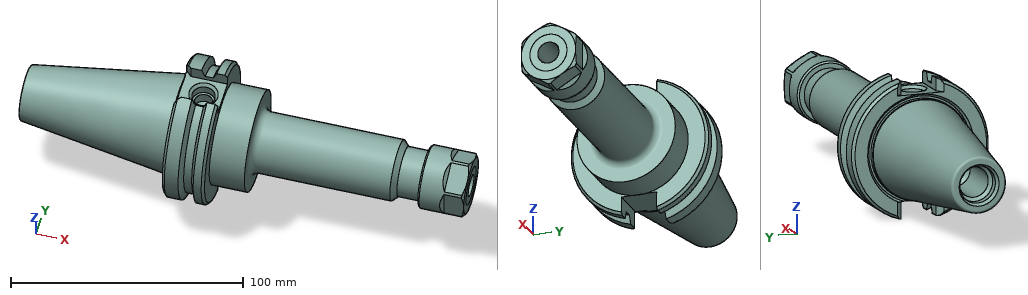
import cadquery as cq
import math


TAPER_SMALL_R = 24.8 / 2
TAPER_HALF_SLOPE = 7 / 48
TAPER_EDGE_R = 1.2
TAPER_END_X = 68.0

FLANGE_BACK_X = 68.8
FLANGE_FRONT_X = 87.7
FLANGE_R = 63.3 / 2
RIM_CHAMFER = 1.2
GROOVE_START_X = 76.2
GROOVE_END_X = 82.9
GROOVE_FLOOR_R = 28.2
GROOVE_WALL_LENGTH = 1.5
COLLAR_R = 22.6
COLLAR_END_X = 103.3

RELIEF_OUTER_R = 24.5
RELIEF_INNER_R = 23.5
RELIEF_DEPTH = 1.2

SLOT_WIDTH = 16.3
SLOT_CHAMFER = 2.5
TOP_SLOT_FLOOR = 24.8
BOTTOM_SLOT_FLOOR = 22.5

POCKET_X = 79.1
POCKET_DIAMETER = 10.1
POCKET_DEPTH = 5.2
POCKET_MOUTH_DIAMETER = 12.7
DRILL_DIAMETER = 8
DRILL_DEPTH = 10
DRILL_POINT_ANGLE = 140

NOSE_R = 27.2 / 2
NOSE_FILLET = 3.2
NOSE_END_X = 168.2
NECK_R = 11.1

BORE_MOUTH_R = 18.5 / 2
BORE_MOUTH_LENGTH = 1.8
PILOT_R = 16.5 / 2
PILOT_DEPTH = 5.0
BORE_R = 6.7
BORE_DEPTH = 27.8
THROUGH_R = 10.1 / 2

NUT_BACK_X = 178.0
NUT_FRONT_X = 198.3
NUT_R = 28.2 / 2
NUT_BACK_CHAMFER = 0.8
NUT_FRONT_CHAMFER_LENGTH = 1.0
NUT_SEAT_X = 190.4
FLAT_START_X = 189.5
FLAT_DISTANCE = 12.5
FLAT_COUNT = 6

COLLET_LARGE_R = 8.5
COLLET_SMALL_R = 12.0 / 2
COLLET_HALF_ANGLE = 8
COLLET_BORE_R = 9.7 / 2
COLLET_CONE_LENGTH = (COLLET_LARGE_R - COLLET_SMALL_R) / math.tan(math.radians(COLLET_HALF_ANGLE))
COLLET_BACK_X = NUT_SEAT_X - COLLET_CONE_LENGTH


def turned(points):
    """Solid of revolution about X from (x, radius) corners."""
    profile = cq.Workplane("XY").polyline(points).close()
    return profile.revolve(360, (0, 0, 0), (1, 0, 0))


def cylinder(start_x, end_x, radius):
    return turned([(start_x, 0), (start_x, radius), (end_x, radius), (end_x, 0)])


def make_holder_body():
    relief_floor_x = FLANGE_BACK_X + RELIEF_DEPTH
    taper_large_r = TAPER_SMALL_R + TAPER_HALF_SLOPE * TAPER_END_X
    rim_r = FLANGE_R - RIM_CHAMFER
    fillet_center = (COLLAR_END_X + NOSE_FILLET, NOSE_R + NOSE_FILLET)
    fillet_offset = NOSE_FILLET * math.sqrt(0.5)
    fillet_middle = (fillet_center[0] - fillet_offset, fillet_center[1] - fillet_offset)
    profile = (
        cq.Workplane("XY")
        .moveTo(0, 0)
        .lineTo(0, TAPER_SMALL_R)
        .lineTo(TAPER_END_X, taper_large_r)
        .lineTo(TAPER_END_X, COLLAR_R)
        .lineTo(relief_floor_x, COLLAR_R)
        .lineTo(relief_floor_x, RELIEF_INNER_R)
        .lineTo(FLANGE_BACK_X, RELIEF_OUTER_R)
        .lineTo(FLANGE_BACK_X, rim_r)
        .lineTo(FLANGE_BACK_X + RIM_CHAMFER, FLANGE_R)
        .lineTo(GROOVE_START_X, FLANGE_R)
        .lineTo(GROOVE_START_X + GROOVE_WALL_LENGTH, GROOVE_FLOOR_R)
        .lineTo(GROOVE_END_X - GROOVE_WALL_LENGTH, GROOVE_FLOOR_R)
        .lineTo(GROOVE_END_X, FLANGE_R)
        .lineTo(FLANGE_FRONT_X - RIM_CHAMFER, FLANGE_R)
        .lineTo(FLANGE_FRONT_X, rim_r)
        .lineTo(FLANGE_FRONT_X, COLLAR_R)
        .lineTo(COLLAR_END_X, COLLAR_R)
        .lineTo(COLLAR_END_X, fillet_center[1])
        .threePointArc(fillet_middle, (fillet_center[0], NOSE_R))
        .lineTo(NOSE_END_X - (NOSE_R - NECK_R), NOSE_R)
        .lineTo(NOSE_END_X, NECK_R)
        .lineTo(NUT_SEAT_X, NECK_R)
        .lineTo(NUT_SEAT_X, 0)
        .close()
    )
    body = profile.revolve(360, (0, 0, 0), (1, 0, 0))
    return body.faces("<X").edges().fillet(TAPER_EDGE_R)


def make_holder_bore():
    pilot_cone = PILOT_R - BORE_R
    bore_cone = BORE_R - THROUGH_R
    return turned([
        (0, 0),
        (0, BORE_MOUTH_R),
        (BORE_MOUTH_LENGTH, PILOT_R),
        (PILOT_DEPTH, PILOT_R),
        (PILOT_DEPTH + pilot_cone, BORE_R),
        (BORE_DEPTH, BORE_R),
        (BORE_DEPTH + bore_cone, THROUGH_R),
        (NUT_SEAT_X, THROUGH_R),
        (NUT_SEAT_X, 0),
    ])


def make_slot(floor):
    """Drive slot cutter above the axis, open upwards, with a flared entry at the flange back."""
    half_width = SLOT_WIDTH / 2
    entry_half_width = half_width + SLOT_CHAMFER
    outline = [
        (FLANGE_BACK_X, -entry_half_width),
        (FLANGE_BACK_X + SLOT_CHAMFER, -half_width),
        (FLANGE_FRONT_X, -half_width),
        (FLANGE_FRONT_X, half_width),
        (FLANGE_BACK_X + SLOT_CHAMFER, half_width),
        (FLANGE_BACK_X, entry_half_width),
    ]
    plane = cq.Workplane("XY").workplane(offset=floor)
    return plane.polyline(outline).close().extrude(FLANGE_R - floor)


def make_slot_hole():
    """Chamfered pocket with a smaller drilled hole below it, cut down from the top slot floor."""
    mouth_r = POCKET_MOUTH_DIAMETER / 2
    pocket_r = POCKET_DIAMETER / 2
    drill_r = DRILL_DIAMETER / 2
    point_length = drill_r / math.tan(math.radians(DRILL_POINT_ANGLE / 2))
    profile = [
        (0, 0),
        (mouth_r, 0),
        (pocket_r, pocket_r - mouth_r),
        (pocket_r, -POCKET_DEPTH),
        (drill_r, -POCKET_DEPTH),
        (drill_r, -DRILL_DEPTH),
        (0, -DRILL_DEPTH - point_length),
    ]
    plane = cq.Workplane("XZ", origin=(POCKET_X, 0, TOP_SLOT_FLOOR))
    return plane.polyline(profile).close().revolve(360, (0, 0, 0), (0, 1, 0))


def make_collet_envelope():
    """Collet without its bore: a cone in the holder and a straight front in the nut."""
    return turned([
        (COLLET_BACK_X, 0),
        (COLLET_BACK_X, COLLET_SMALL_R),
        (NUT_SEAT_X, COLLET_LARGE_R),
        (NUT_FRONT_X, COLLET_LARGE_R),
        (NUT_FRONT_X, 0),
    ])


def make_holder():
    bottom_slot = make_slot(BOTTOM_SLOT_FLOOR).rotate((0, 0, 0), (1, 0, 0), 180)
    return (
        make_holder_body()
        .cut(make_holder_bore())
        .cut(make_slot(TOP_SLOT_FLOOR))
        .cut(bottom_slot)
        .cut(make_slot_hole())
        .cut(make_collet_envelope())
    )


def make_flat_cutter():
    """Removes the material above one wrench flat, leaving a 45 degree run-out behind it."""
    height = NUT_R - FLAT_DISTANCE
    outline = [
        (FLAT_START_X, FLAT_DISTANCE),
        (NUT_FRONT_X, FLAT_DISTANCE),
        (NUT_FRONT_X, NUT_R),
        (FLAT_START_X - height, NUT_R),
    ]
    return cq.Workplane("XY").polyline(outline).close().extrude(NUT_R, both=True)


def make_nut():
    nut = turned([
        (NUT_BACK_X, 0),
        (NUT_BACK_X, NUT_R - NUT_BACK_CHAMFER),
        (NUT_BACK_X + NUT_BACK_CHAMFER, NUT_R),
        (NUT_FRONT_X - NUT_FRONT_CHAMFER_LENGTH, NUT_R),
        (NUT_FRONT_X, FLAT_DISTANCE),
        (NUT_FRONT_X, 0),
    ])
    for index in range(FLAT_COUNT):
        angle = index * 360 / FLAT_COUNT
        nut = nut.cut(make_flat_cutter().rotate((0, 0, 0), (1, 0, 0), angle))
    neck_bore = cylinder(NUT_BACK_X, NUT_SEAT_X, NECK_R)
    return nut.cut(neck_bore).cut(make_collet_envelope())


def make_collet():
    return make_collet_envelope().cut(cylinder(COLLET_BACK_X, NUT_FRONT_X, COLLET_BORE_R))


holder = make_holder()
nut = make_nut()
collet = make_collet()

result = cq.Compound.makeCompound([holder.val(), nut.val(), collet.val()])